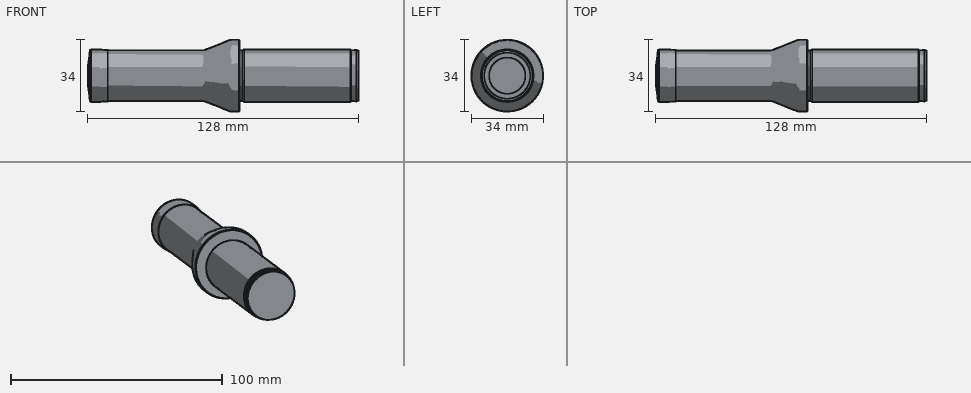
import cadquery as cq

overall_length = 128.0

head_front_diameter = 25.0
head_rear_diameter = 24.5
head_land_end_x = 5.6
head_rear_x = 9.5
head_face_x = 0.9
head_chamfer_end_x = 1.5
head_face_diameter = 24.0
face_pad_diameter = 21.8
face_pad_height = 0.1

nose_diameter = 17.2
nose_rim_diameter = 9.2
nose_edge_x = 0.5
dish_floor_diameter = 1.5
dish_depth = 0.5

shank_diameter = 24.0
shank_end_x = 54.1
cone_start_x = 56.0
cone_start_diameter = 25.0
cone_end_x = 66.4
cone_end_diameter = 33.4
flange_diameter = 34.0
flange_start_x = 67.8
flange_rear_x = 71.8
flange_chamfer = 0.4

neck_diameter = 24.0
neck_fillet = 0.4
neck_end_x = 73.1
rear_diameter = 25.0
rear_start_x = 74.0
rear_end_x = 124.2
groove_diameter = 24.0
groove_start_x = 124.5
groove_end_x = 124.9
tail_diameter = 24.5
tail_chamfer_length = 1.2
tail_chamfer_depth = 0.4


def revolve_about_x(profile):
    """Turn a closed half profile, drawn as (x, radius), into a solid."""
    return profile.close().revolve(360, (0, 0, 0), (1, 0, 0))


def make_head():
    pad_face_x = head_face_x - face_pad_height
    profile = (
        cq.Workplane("XY")
        .moveTo(dish_depth, 0)
        .lineTo(dish_depth, dish_floor_diameter / 2)
        .lineTo(0, nose_rim_diameter / 2)
        .lineTo(nose_edge_x, nose_diameter / 2)
        .lineTo(pad_face_x, nose_diameter / 2)
        .lineTo(pad_face_x, face_pad_diameter / 2)
        .lineTo(head_face_x, face_pad_diameter / 2)
        .lineTo(head_face_x, head_face_diameter / 2)
        .lineTo(head_chamfer_end_x, head_front_diameter / 2)
        .lineTo(head_land_end_x, head_front_diameter / 2)
        .lineTo(head_rear_x, head_rear_diameter / 2)
        .lineTo(head_rear_x, 0)
    )
    return revolve_about_x(profile)


def make_holder():
    flange_edge_radius = flange_diameter / 2 - flange_chamfer
    neck_radius = neck_diameter / 2
    tail_edge_radius = tail_diameter / 2 - tail_chamfer_depth
    profile = (
        cq.Workplane("XY")
        .moveTo(head_rear_x, 0)
        .lineTo(head_rear_x, shank_diameter / 2)
        .lineTo(shank_end_x, shank_diameter / 2)
        .tangentArcPoint((cone_start_x, cone_start_diameter / 2), relative=False)
        .lineTo(cone_end_x, cone_end_diameter / 2)
        .tangentArcPoint((flange_start_x, flange_diameter / 2), relative=False)
        .lineTo(flange_rear_x - flange_chamfer, flange_diameter / 2)
        .lineTo(flange_rear_x, flange_edge_radius)
        .lineTo(flange_rear_x, neck_radius + neck_fillet)
        .tangentArcPoint((flange_rear_x + neck_fillet, neck_radius), relative=False)
        .lineTo(neck_end_x, neck_radius)
        .lineTo(rear_start_x, rear_diameter / 2)
        .lineTo(rear_end_x, rear_diameter / 2)
        .lineTo(groove_start_x, groove_diameter / 2)
        .lineTo(groove_end_x, groove_diameter / 2)
        .lineTo(overall_length - tail_chamfer_length, tail_diameter / 2)
        .lineTo(overall_length, tail_edge_radius)
        .lineTo(overall_length, 0)
    )
    return revolve_about_x(profile)


head = make_head()
holder = make_holder()

result = cq.Compound.makeCompound([head.val(), holder.val()])